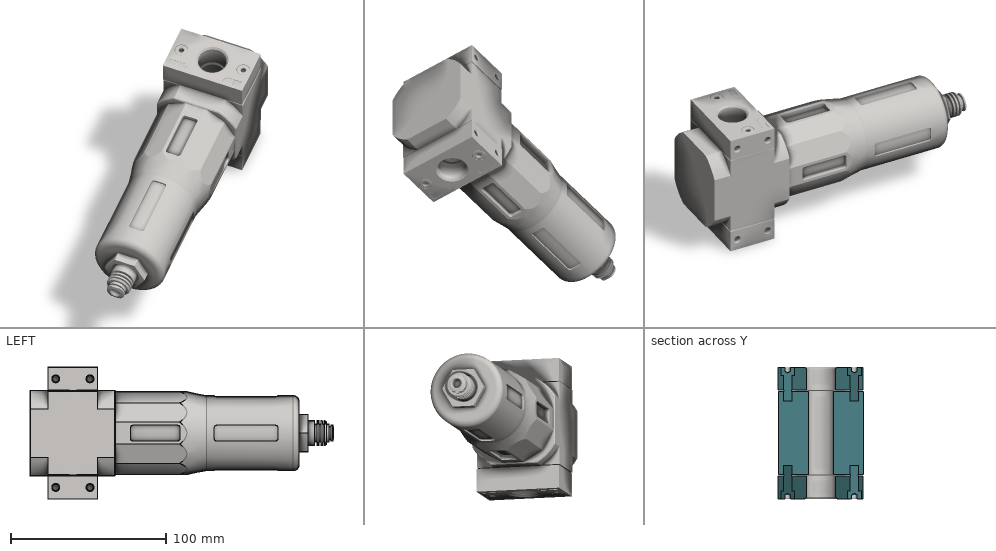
import cadquery as cq
import math

HOUSING_WIDTH = 55.0
HOUSING_CORNER_DIA = 63.3
HOUSING_BACK_Y = 27.5
HOUSING_FRONT_Y = -27.5
HOUSING_FRONT_CHAMFER = 0.5
PORT_BORE_DIA = 16.0

OVERALL_HEIGHT = 85.0
PLATE_LENGTH = 32.0
PLATE_GAP = 0.5
PLATE_SHIFT_X = -0.4
PORT_THREAD_DIA = 18.5
PORT_CHAMFER = 1.2
SIDE_HOLE_DIA = 4.1
SIDE_HOLE_CHAMFER = 0.49
SIDE_HOLE_DEPTH = 7.8
SIDE_HOLE_SPACING = 22.0
SIDE_HOLE_Z = 35.0
DRILL_POINT_ANGLE = 118.0

LABEL_OUTER_X = 25.5
LABEL_INNER_X = 12.7
LABEL_SPLIT_X = 19.5
LABEL_CENTRE_Y = -11.5
LABEL_HEIGHT = 4.3
LABEL_BEVEL = 2.1
LABEL_CORNER_RADIUS = 1.2
LABEL_DEPTH = 0.2

SCREW_X = 21.5
SCREW_HEAD_DIA = 8.5
SCREW_HEAD_HEIGHT = 5.0
SCREW_HEAD_FILLET = 0.5
SCREW_SHANK_DIA = 5.0
SCREW_LENGTH = 21.5
SOCKET_DIA = 3.3
SOCKET_CHAMFER = 0.4
SOCKET_DEPTH = 2.5

GUARD_SIDES = 12
GUARD_ACROSS_FLATS = 53.3
GUARD_DIA = 48.2
CONE_START_Y = -68.7
CONE_END_Y = -85.9
GUARD_END_Y = -145.6
GUARD_END_FILLET = 4.0
HEX_ACROSS_FLATS = 24.0
HEX_LENGTH = 5.9
DRAIN_RECESS_DIA = 18.0
DRAIN_RECESS_CHAMFER = 1.0
WINDOW_WIDTH = 10.2
WINDOW_CORNER_RADIUS = 1.5
UPPER_WINDOW = (-69.0, -37.0)
LOWER_WINDOW = (-132.0, -91.0)

BOWL_UPPER_DIA = 47.2
BOWL_LOWER_DIA = 45.7
BOWL_STEP_Y = -74.2
BOWL_END_FLOOR = 5.9

DRAIN_DIA = 16.0
DRAIN_CORE_DIA = 11.5
DRAIN_NECK_END_Y = -155.5
BARB_STARTS_Y = (-157.2, -159.7, -162.0)
BARB_LENGTH = 1.2
BARB_END_DIAS = (16.0, 15.8, 14.6)
DRAIN_CORE_END_Y = -165.0
DRAIN_GROOVE_DIA = 8.5
TIP_DIA = 12.1
TIP_ACROSS_FLATS = 10.3
TIP_START_Y = -166.1
TIP_RIM_Y = -167.1
DRAIN_END_Y = -167.7
DRAIN_BORE_DIA = 6.0
DRAIN_BORE_CHAMFER = 0.5
DRAIN_BORE_DEPTH = 5.9

HALF_HOUSING = HOUSING_WIDTH / 2
PLATE_TOP_Z = OVERALL_HEIGHT / 2
PLATE_THICKNESS = PLATE_TOP_Z - HALF_HOUSING
HEX_END_Y = GUARD_END_Y - HEX_LENGTH
BOWL_END_Y = GUARD_END_Y + BOWL_END_FLOOR
GUARD_CORNER_DIA = GUARD_ACROSS_FLATS / math.cos(math.pi / GUARD_SIDES)


def along_y(start_y):
    """Workplane at start_y whose local x is X, local y is Z, and which extrudes towards -Y."""
    return cq.Workplane("XZ", origin=(0, start_y, 0))


def rod(diameter, start_y, end_y):
    return along_y(start_y).circle(diameter / 2).extrude(start_y - end_y)


def prism(sides, across_flats, start_y, end_y, turn):
    corner_dia = across_flats / math.cos(math.pi / sides)
    bar = along_y(start_y).polygon(sides, corner_dia).extrude(start_y - end_y)
    return bar.rotate((0, 0, 0), (0, 1, 0), turn)


def frustum(start_dia, end_dia, start_y, end_y):
    """Cone stretch about the Y axis."""
    outline = [(0, start_y), (start_dia / 2, start_y), (end_dia / 2, end_y), (0, end_y)]
    return cq.Workplane("XY").polyline(outline).close().revolve(360, (0, 0), (0, 1))


def drill(diameter, depth):
    """Drill with a pointed end, starting at the origin and running along -Z."""
    radius = diameter / 2
    point = radius / math.tan(math.radians(DRILL_POINT_ANGLE / 2))
    outline = [(0, 0), (radius, 0), (radius, -depth), (0, -depth - point)]
    return cq.Workplane("XZ").polyline(outline).close().revolve(360, (0, 0), (0, 1))


def countersink(diameter, chamfer):
    """Cutter that bevels the mouth of a hole which starts at the origin and runs along -Z."""
    radius = diameter / 2
    outline = [(0, 0), (radius + chamfer, 0), (radius, -chamfer), (0, -chamfer)]
    return cq.Workplane("XZ").polyline(outline).close().revolve(360, (0, 0), (0, 1))


def mirror_down(body):
    return body.mirror("XY")


def screw_at(x):
    """Socket head screw, head flush with the outer face of the +Z plate."""
    head = cq.Workplane("XY").circle(SCREW_HEAD_DIA / 2).extrude(-SCREW_HEAD_HEIGHT)
    head = head.faces(">Z").edges().fillet(SCREW_HEAD_FILLET)
    shank = cq.Workplane("XY").circle(SCREW_SHANK_DIA / 2).extrude(-SCREW_LENGTH)
    socket = drill(SOCKET_DIA, SOCKET_DEPTH).union(countersink(SOCKET_DIA, SOCKET_CHAMFER))
    return head.union(shank).cut(socket).translate((x, 0, PLATE_TOP_Z))


def screw_hole_at(x):
    """Space filled by one screw, without its socket and head fillet."""
    head = cq.Workplane("XY").circle(SCREW_HEAD_DIA / 2).extrude(-SCREW_HEAD_HEIGHT)
    shank = cq.Workplane("XY").circle(SCREW_SHANK_DIA / 2).extrude(-SCREW_LENGTH)
    return head.union(shank).translate((x, 0, PLATE_TOP_Z))


def label_outline(outer_x, inner_x):
    """Engraved strip with one bevelled inner corner and rounded outer corners."""
    bottom = LABEL_CENTRE_Y - LABEL_HEIGHT / 2
    top = LABEL_CENTRE_Y + LABEL_HEIGHT / 2
    towards_outside = math.copysign(1, outer_x)
    outline = [
        (outer_x, bottom),
        (inner_x, bottom),
        (inner_x, top - LABEL_BEVEL),
        (inner_x + towards_outside * LABEL_BEVEL, top),
        (outer_x, top),
    ]
    strip = cq.Workplane("XY").polyline(outline).close().extrude(-LABEL_DEPTH)
    outer_side = ">X" if outer_x > 0 else "<X"
    strip = strip.faces(outer_side).edges("|Z").fillet(LABEL_CORNER_RADIUS)
    return strip.translate((PLATE_SHIFT_X, 0, PLATE_TOP_Z))


def labels():
    left = label_outline(-LABEL_OUTER_X, -LABEL_INNER_X)
    right = label_outline(LABEL_OUTER_X, LABEL_INNER_X)
    outer_part = (
        cq.Workplane("XY")
        .box(LABEL_SPLIT_X, 2 * PLATE_LENGTH, OVERALL_HEIGHT)
        .translate((LABEL_SPLIT_X * 1.5 + PLATE_SHIFT_X, 0, PLATE_TOP_Z))
    )
    deep_part = right.intersect(outer_part).translate((0, 0, -LABEL_DEPTH))
    return left.union(right).union(deep_part)


def top_plate():
    plate = (
        cq.Workplane("XY", origin=(PLATE_SHIFT_X, 0, HALF_HOUSING))
        .rect(HOUSING_WIDTH, PLATE_LENGTH)
        .extrude(PLATE_THICKNESS)
    )
    port = cq.Workplane("XY").circle(PORT_THREAD_DIA / 2).extrude(PLATE_TOP_Z)
    port_bevel = countersink(PORT_THREAD_DIA, PORT_CHAMFER).translate((0, 0, PLATE_TOP_Z))
    plate = plate.cut(port).cut(port_bevel)
    for x in (-SCREW_X, SCREW_X):
        plate = plate.cut(screw_hole_at(x))
    side_hole = drill(SIDE_HOLE_DIA, SIDE_HOLE_DEPTH).union(
        countersink(SIDE_HOLE_DIA, SIDE_HOLE_CHAMFER)
    )
    side_hole = side_hole.rotate((0, 0, 0), (0, 1, 0), -90)
    side_x = PLATE_SHIFT_X - HALF_HOUSING
    for y in (-SIDE_HOLE_SPACING / 2, SIDE_HOLE_SPACING / 2):
        plate = plate.cut(side_hole.translate((side_x, y, SIDE_HOLE_Z)))
    return plate.cut(labels())


def make_housing():
    depth = HOUSING_BACK_Y - HOUSING_FRONT_Y
    square = along_y(HOUSING_BACK_Y).rect(HOUSING_WIDTH, HOUSING_WIDTH).extrude(depth)
    body = square.intersect(rod(HOUSING_CORNER_DIA, HOUSING_BACK_Y, HOUSING_FRONT_Y))
    body = body.faces("<Y").chamfer(HOUSING_FRONT_CHAMFER)
    seat = cq.Workplane("XY").box(HOUSING_WIDTH, PLATE_LENGTH, HOUSING_WIDTH)
    block = cq.Workplane("XY").box(HOUSING_WIDTH, PLATE_LENGTH, HOUSING_WIDTH - 2 * PLATE_GAP)
    body = body.cut(seat).union(block)
    body = body.cut(cq.Workplane("XY").circle(PORT_BORE_DIA / 2).extrude(OVERALL_HEIGHT, both=True))
    for x in (-SCREW_X, SCREW_X):
        hole = screw_hole_at(x)
        body = body.cut(hole).cut(mirror_down(hole))
    return body


def make_bowl():
    upper_part = rod(BOWL_UPPER_DIA, HOUSING_FRONT_Y, BOWL_STEP_Y)
    lower_part = rod(BOWL_LOWER_DIA, BOWL_STEP_Y, BOWL_END_Y)
    return upper_part.union(lower_part)


def window_cutters(y_range):
    """Four window openings, one on each of the +X, -X, +Z and -Z sides."""
    length = y_range[1] - y_range[0]
    window = (
        cq.Workplane("XY", origin=(0, (y_range[0] + y_range[1]) / 2, 0))
        .rect(WINDOW_WIDTH, length)
        .extrude(GUARD_ACROSS_FLATS)
        .edges("|Z")
        .fillet(WINDOW_CORNER_RADIUS)
    )
    return [window.rotate((0, 0, 0), (0, 1, 0), turn) for turn in (0, 90, 180, 270)]


def make_guard():
    body = prism(GUARD_SIDES, GUARD_ACROSS_FLATS, HOUSING_FRONT_Y, CONE_END_Y, 180 / GUARD_SIDES)
    envelope = rod(GUARD_CORNER_DIA, HOUSING_FRONT_Y, CONE_START_Y).union(
        frustum(GUARD_CORNER_DIA, GUARD_DIA, CONE_START_Y, CONE_END_Y)
    )
    body = body.intersect(envelope)
    sleeve = rod(GUARD_DIA, CONE_END_Y, GUARD_END_Y).faces("<Y").edges().fillet(GUARD_END_FILLET)
    body = body.union(sleeve)
    body = body.union(prism(6, HEX_ACROSS_FLATS, GUARD_END_Y, HEX_END_Y, 0))
    body = body.cut(make_bowl())
    for y_range in (UPPER_WINDOW, LOWER_WINDOW):
        for window in window_cutters(y_range):
            body = body.cut(window)
    recess = rod(DRAIN_RECESS_DIA, GUARD_END_Y, HEX_END_Y)
    recess_bevel = frustum(
        DRAIN_RECESS_DIA,
        DRAIN_RECESS_DIA + 2 * DRAIN_RECESS_CHAMFER,
        HEX_END_Y + DRAIN_RECESS_CHAMFER,
        HEX_END_Y,
    )
    return body.cut(recess).cut(recess_bevel)


def make_drain():
    body = rod(DRAIN_DIA, GUARD_END_Y, DRAIN_NECK_END_Y)
    body = body.union(rod(DRAIN_CORE_DIA, DRAIN_NECK_END_Y, DRAIN_CORE_END_Y))
    for start_y, end_dia in zip(BARB_STARTS_Y, BARB_END_DIAS):
        body = body.union(frustum(DRAIN_DIA, end_dia, start_y, start_y - BARB_LENGTH))
    body = body.union(rod(DRAIN_GROOVE_DIA, DRAIN_CORE_END_Y, TIP_START_Y))
    flats = along_y(TIP_START_Y).rect(TIP_DIA, TIP_ACROSS_FLATS).extrude(TIP_START_Y - DRAIN_END_Y)
    bore_mouth_dia = DRAIN_BORE_DIA + 2 * DRAIN_BORE_CHAMFER
    tip = rod(TIP_DIA, TIP_START_Y, TIP_RIM_Y).union(
        frustum(TIP_DIA, bore_mouth_dia, TIP_RIM_Y, DRAIN_END_Y)
    )
    body = body.union(tip.intersect(flats))
    bore = rod(DRAIN_BORE_DIA, DRAIN_END_Y + DRAIN_BORE_DEPTH, DRAIN_END_Y)
    bore_mouth = frustum(DRAIN_BORE_DIA, bore_mouth_dia, DRAIN_END_Y + DRAIN_BORE_CHAMFER, DRAIN_END_Y)
    return body.cut(bore).cut(bore_mouth)


housing = make_housing()
upper_plate = top_plate()
lower_plate = mirror_down(upper_plate)
upper_screws = [screw_at(x) for x in (-SCREW_X, SCREW_X)]
lower_screws = [mirror_down(screw) for screw in upper_screws]
guard = make_guard()
bowl = make_bowl()
drain = make_drain()

result = cq.Compound.makeCompound(
    [
        housing.val(),
        upper_plate.val(),
        lower_plate.val(),
        *[screw.val() for screw in upper_screws + lower_screws],
        guard.val(),
        bowl.val(),
        drain.val(),
    ]
)